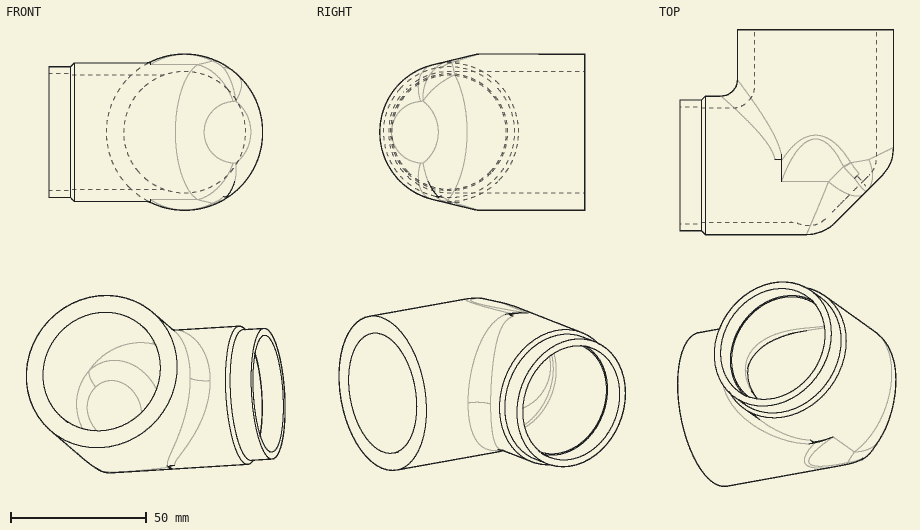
import cadquery as cq
import math

arm_length = 50.0
inlet_diameter = 51.1
outlet_diameter = 57.6
inlet_radius = inlet_diameter / 2
outlet_radius = outlet_diameter / 2

spigot_radius = 48.3 / 2
spigot_length = 8.0
shoulder_chamfer = inlet_radius - spigot_radius

flat_tangent_y = -6.0
flat_edge_fillet = 6.0
flat_fillet_end = 13.5

bevel_distance = 20.05
bevel_fillet = 15.0
inner_corner_fillet = 6.0
blend_end_y = 2.2

bore_radius = 42.1 / 2
bore_bevel_distance = 16.5
bore_bevel_fillet = 8.4
bore_corner_fillet = 8.4
mouth_radius = 43.1 / 2
mouth_depth = 8.0
outlet_bore_radius = 44.8 / 2

split_x = -12.6


def x_cylinder(radius, x_start, x_end):
    """Cylinder on the X axis between two X positions."""
    return cq.Workplane("YZ", origin=(x_start, 0, 0)).circle(radius).extrude(x_end - x_start)


def y_cylinder(radius, y_start, y_end):
    """Cylinder on the Y axis between two Y positions."""
    plane = cq.Plane(origin=(0, y_start, 0), xDir=(-1, 0, 0), normal=(0, 1, 0))
    return cq.Workplane(plane).circle(radius).extrude(y_end - y_start)


def beyond_bisector(distance):
    """Block filling the space further than a distance along the (1, -1) bisector."""
    offset = distance / math.sqrt(2)
    plane = cq.Plane(origin=(offset, -offset, 0), xDir=(0, 0, 1), normal=(1, -1, 0))
    return cq.Workplane(plane).rect(4 * arm_length, 4 * arm_length).extrude(2 * arm_length)


def bevel_corner(body, distance, fillet):
    """Cut the corner square to the (1, -1) bisector and round the rim of the cut."""
    bevel_face = cq.selectors.DirectionMinMaxSelector(cq.Vector(1, -1, 0), True)
    return body.cut(beyond_bisector(distance)).faces(bevel_face).edges().fillet(fillet)


def nose_prism(x_start, x_end):
    """Prism along X: the inlet circle opening toward +Y between two planes tangent to it."""
    tangent_z = math.sqrt(inlet_radius**2 - flat_tangent_y**2)
    slope = -flat_tangent_y / tangent_z
    end_z = tangent_z + slope * (arm_length - flat_tangent_y)
    return (
        cq.Workplane("YZ", origin=(x_start, 0, 0))
        .moveTo(arm_length, -end_z)
        .lineTo(flat_tangent_y, -tangent_z)
        .threePointArc((-inlet_radius, 0), (flat_tangent_y, tangent_z))
        .lineTo(arm_length, end_z)
        .close()
        .extrude(x_end - x_start)
    )


def corner_body():
    """Outlet arm on the bevel side of the split, with the two flats and the bevelled corner."""
    body = y_cylinder(outlet_radius, -arm_length, arm_length).intersect(nose_prism(split_x, arm_length))
    body = bevel_corner(body, bevel_distance, bevel_fillet)

    tip_block = beyond_bisector(flat_fillet_end)
    tip = body.intersect(tip_block)
    flat_edges = body.cut(tip_block).edges("%ELLIPSE").edges(">Z or <Z")
    return flat_edges.fillet(flat_edge_fillet).union(tip)


def inlet_arm():
    """Inlet arm with its spigot and chamfered shoulder."""
    shoulder_x = spigot_length - arm_length
    return (
        cq.Workplane("XY")
        .moveTo(-arm_length, 0)
        .lineTo(-arm_length, -spigot_radius)
        .lineTo(shoulder_x, -spigot_radius)
        .lineTo(shoulder_x + shoulder_chamfer, -inlet_radius)
        .lineTo(split_x, -inlet_radius)
        .lineTo(split_x, 0)
        .close()
        .revolve(360, (0, 0, 0), (1, 0, 0))
    )


def inner_corner_blend():
    """Near side of the outlet arm, with the concave fillet where the inlet arm runs into it."""
    tee = x_cylinder(inlet_radius, -arm_length, 0).union(y_cylinder(outlet_radius, -arm_length, arm_length))
    tee = tee.edges("%BSPLINE").fillet(inner_corner_fillet)
    blend_start_x = -outlet_radius - inner_corner_fillet - shoulder_chamfer
    length_y = arm_length - blend_end_y
    zone = cq.Workplane("XY", origin=(blend_start_x, blend_end_y, 0)).box(
        split_x - blend_start_x, length_y, 2 * outlet_diameter, centered=(False, False, True)
    )
    return tee.intersect(zone)


def passage():
    """Flow passage: two bores joined by a sphere, with a bevelled outer and a rounded inner corner."""
    body = y_cylinder(outlet_bore_radius, 0, arm_length)
    body = body.union(cq.Workplane("XY").sphere(outlet_bore_radius))
    body = body.union(x_cylinder(bore_radius, -arm_length, 0)).edges("%BSPLINE").fillet(bore_corner_fillet)
    body = bevel_corner(body, bore_bevel_distance, bore_bevel_fillet)
    return body.union(x_cylinder(mouth_radius, -arm_length, mouth_depth - arm_length))


outer = inlet_arm().union(corner_body()).union(inner_corner_blend())
result = outer.cut(passage())